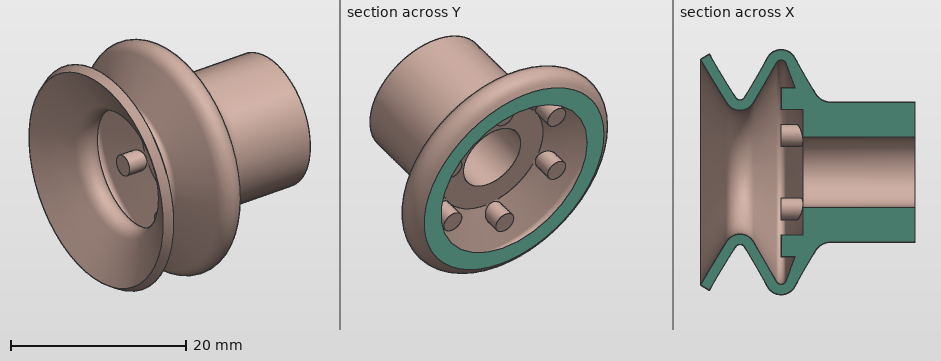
import cadquery as cq
import math

total_length = 24.5
crest_radius = 14.0
crest_y = 9.2
sleeve_radius = 8.0
bore_radius = 4.0
neck_radius = 8.25
lip_radius = 12.88
wall = 1.2
cone_angle = math.radians(30)

tight_bend = 0.6
wide_bend = tight_bend + wall
shoulder_bend = 2.0

floor_radius = 7.15
floor_y = 11.7
pin_count = 6
pin_radius = 1.25
pin_circle_radius = 8.4
pin_end_y = crest_y


def bend_spacing(radial_distance, bend_sum):
    """Axial distance between two opposite bends joined by a tangent cone."""
    return (radial_distance * math.sin(cone_angle) + bend_sum) / math.cos(cone_angle)


crest = (crest_radius - wide_bend, crest_y)
neck_center_radius = neck_radius + tight_bend
neck_spacing = bend_spacing(crest[0] - neck_center_radius, wide_bend + tight_bend)
neck = (neck_center_radius, crest_y - neck_spacing)
shoulder_center_radius = sleeve_radius + shoulder_bend
shoulder_spacing = bend_spacing(crest[0] - shoulder_center_radius, wide_bend + shoulder_bend)
shoulder = (shoulder_center_radius, crest_y + shoulder_spacing)


def on_bend(center, bend, angle):
    """Point of a bend at an angle measured from the radial direction towards +Y."""
    return center[0] + bend * math.cos(angle), center[1] + bend * math.sin(angle)


def tangent_angle(point, center, bend, side):
    """Angle on a bend where the straight line from the point touches it."""
    radial = point[0] - center[0]
    axial = point[1] - center[1]
    return math.atan2(axial, radial) + side * math.acos(bend / math.hypot(radial, axial))


crest_tangent = math.pi / 2 - cone_angle
neck_tangent = math.pi - crest_tangent
inner_lip = (lip_radius, 0)
lip_tangent = tangent_angle(inner_lip, neck, wide_bend, -1)
outer_lip = on_bend(inner_lip, -wall, lip_tangent)
floor_rim = (floor_radius, floor_y)
floor_tangent = tangent_angle(floor_rim, crest, tight_bend, -1)


def make_body():
    """Revolve the half section; sketch X is the radius and sketch Y the axis."""
    return (
        cq.Workplane("XY")
        .moveTo(bore_radius, total_length)
        .lineTo(sleeve_radius, total_length)
        .lineTo(sleeve_radius, shoulder[1])
        .threePointArc(
            on_bend(shoulder, shoulder_bend, math.pi + crest_tangent / 2),
            on_bend(shoulder, shoulder_bend, math.pi + crest_tangent),
        )
        .lineTo(*on_bend(crest, wide_bend, crest_tangent))
        .threePointArc((crest_radius, crest_y), on_bend(crest, wide_bend, -crest_tangent))
        .lineTo(*on_bend(neck, tight_bend, neck_tangent))
        .threePointArc((neck_radius, neck[1]), on_bend(neck, tight_bend, lip_tangent))
        .lineTo(*outer_lip)
        .lineTo(*inner_lip)
        .lineTo(*on_bend(neck, wide_bend, lip_tangent))
        .threePointArc((neck_radius - wall, neck[1]), on_bend(neck, wide_bend, neck_tangent))
        .lineTo(*on_bend(crest, tight_bend, -crest_tangent))
        .threePointArc((crest_radius - wall, crest_y), on_bend(crest, tight_bend, floor_tangent))
        .lineTo(*floor_rim)
        .lineTo(bore_radius, floor_y)
        .close()
        .revolve(360, (0, 0), (0, 1))
    )


def make_pins():
    """Ring of stop pins; two of them lie on the Z axis."""
    return (
        cq.Workplane("XZ", origin=(0, floor_y, 0))
        .polarArray(pin_circle_radius, 90, 360, pin_count)
        .circle(pin_radius)
        .extrude(floor_y - pin_end_y)
    )


result = make_body().union(make_pins())